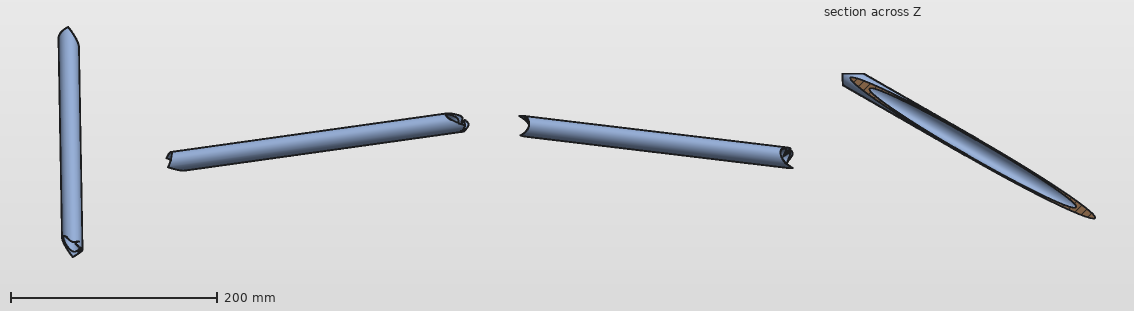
import cadquery as cq
import math

TUBE_RADIUS = 10.0
WALL = 1.6
NODE_SPACING = 291.32
PLAN_SLOPE = 0.5734
RISE_SLOPE = 0.0842
END_ALLOWANCE = 30.0

CUTTER_REACH = 80.0
CROSSING_END_GAP = 3.3
STEEP_NODE_OFFSET = 6.2
STEEP_ANGLE = 94.85
STEEP_ROLL = 132.87
STEEP_SIDE_SHIFT = 0.29

UP = cq.Vector(0, 0, 1)
LOWER_NODE = cq.Vector(0, 0, 0)

brace_axis = cq.Vector(1, -PLAN_SLOPE, RISE_SLOPE).normalized()
crossing_axis = cq.Vector(1, PLAN_SLOPE, RISE_SLOPE).normalized()
upper_node = brace_axis * NODE_SPACING

brace_top = (UP - brace_axis * brace_axis.dot(UP)).normalized()
brace_side = brace_top.cross(brace_axis)


def rod(start, axis, radius, length):
    return cq.Solid.makeCylinder(radius, length, start, axis)


def brace_tube():
    start = LOWER_NODE - brace_axis * END_ALLOWANCE
    length = NODE_SPACING + 2 * END_ALLOWANCE
    outside = rod(start, brace_axis, TUBE_RADIUS, length)
    bore = rod(start, brace_axis, TUBE_RADIUS - WALL, length)
    return outside.cut(bore)


def lower_crossing():
    """Mirrored tube running through the lower joint centre."""
    start = LOWER_NODE - crossing_axis * CUTTER_REACH
    return rod(start, crossing_axis, TUBE_RADIUS, 2 * CUTTER_REACH)


def upper_crossing():
    """Mirrored tube that arrives at the upper joint and stops just past its centre."""
    start = upper_node - crossing_axis * CUTTER_REACH
    return rod(start, crossing_axis, TUBE_RADIUS, CUTTER_REACH + CROSSING_END_GAP)


def steep_crossing():
    """Steep tube passing across the upper end of the brace."""
    roll = math.radians(STEEP_ROLL)
    angle = math.radians(STEEP_ANGLE)
    outward = brace_top * math.cos(roll) + brace_side * math.sin(roll)
    sideways = brace_axis.cross(outward)
    axis = outward * math.sin(angle) - brace_axis * math.cos(angle)
    centre = upper_node + brace_axis * STEEP_NODE_OFFSET + sideways * STEEP_SIDE_SHIFT
    return rod(centre - axis * CUTTER_REACH, axis, TUBE_RADIUS, 2 * CUTTER_REACH)


def largest_solid(shape):
    """The brace itself, without the offcuts beyond its copes."""
    return max(shape.Solids(), key=lambda solid: solid.Volume())


coped = brace_tube()
for cutter in (lower_crossing(), upper_crossing(), steep_crossing()):
    coped = coped.cut(cutter)

result = cq.Workplane("XY").newObject([largest_solid(coped)])